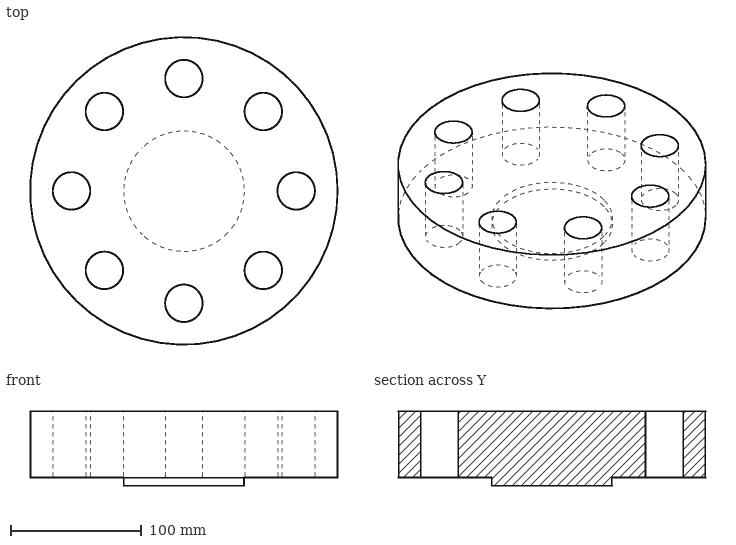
import cadquery as cq

flange_diameter = 234.9
total_height = 57.0
raised_face_height = 6.3
raised_face_diameter = 92.0
bolt_circle_diameter = 171.5
bolt_hole_diameter = 28.5
bolt_hole_count = 8

disc_thickness = total_height - raised_face_height

disc = cq.Workplane("XY").circle(flange_diameter / 2).extrude(disc_thickness)

raised_face = cq.Workplane("XY").circle(raised_face_diameter / 2).extrude(-raised_face_height)

bolt_holes = (
    cq.Workplane("XY")
    .polarArray(bolt_circle_diameter / 2, 0, 360, bolt_hole_count)
    .circle(bolt_hole_diameter / 2)
    .extrude(disc_thickness)
)

result = disc.union(raised_face).cut(bolt_holes)